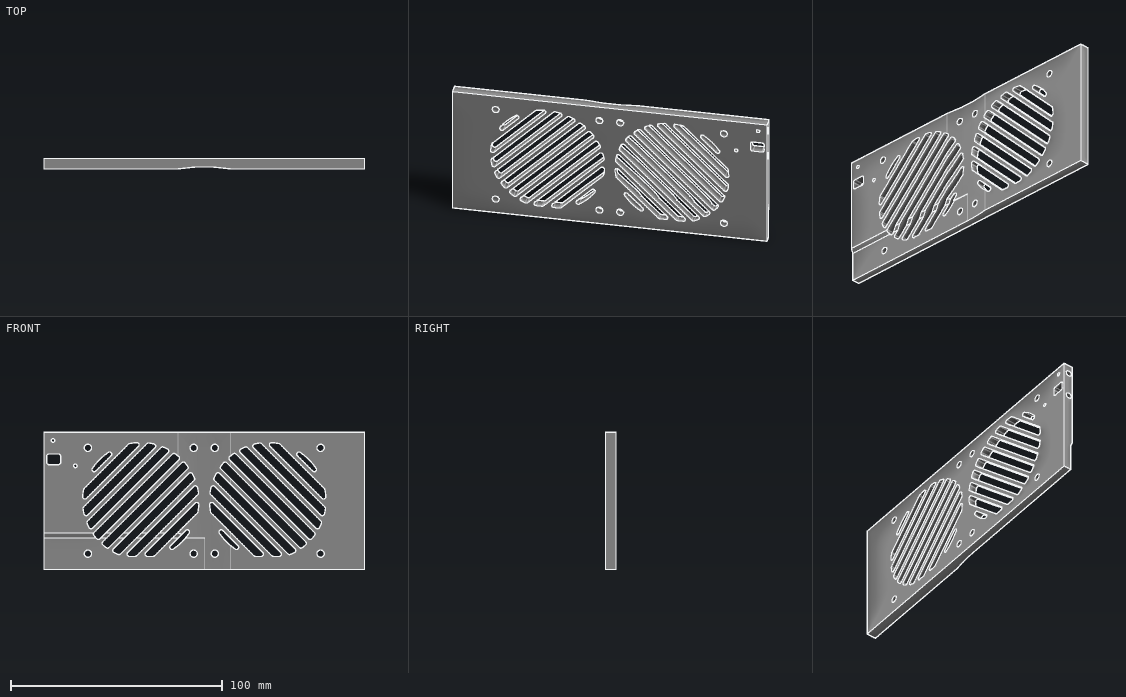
import cadquery as cq

PLATE_LENGTH = 151.7
PLATE_THICKNESS = 5.0
PLATE_HEIGHT = 65.0
MID_X = PLATE_LENGTH / 2
MID_Z = PLATE_HEIGHT / 2

HOLLOW_WIDTH = 25.0
HOLLOW_DEPTH = 1.0

RECESS_HEIGHT = 15.0
RAMP_HEIGHT = 2.3
RAMP_LENGTH = 67.0

FAN_SPACING = 60.0
FAN_OPENING_DIAMETER = 55.0
FAN_OPENING_FLAT_Z = 6.25
FAN_SCREW_PITCH = 50.0
FAN_SCREW_DIAMETER = 3.33
SLOT_WIDTH = 4.0
SLOT_PITCH = 6.0
SLOT_COUNT = 10
SLOT_CORNER_RADIUS = 1.0
SLOT_ANGLE = 45.0

WINDOW_LENGTH = 6.5
WINDOW_HEIGHT = 5.0
WINDOW_CENTER = (4.7, 52.1)
WINDOW_CORNER_RADIUS = 1.04

PILOT_DIAMETER = 1.62
PILOT_CENTERS = [(4.35, 61.0), (14.9, 49.0)]

END_HOLE_DIAMETER = 3.02
END_HOLE_DEPTH = 3.0
END_HOLE_Y = 2.2
END_HOLE_HEIGHTS = (46.0, 60.0)


def make_plate():
    return cq.Workplane("XY").box(PLATE_LENGTH, PLATE_THICKNESS, PLATE_HEIGHT, centered=False)


def front_plane(x, z):
    """Workplane on the front face at (x, z), with its normal pointing into the plate."""
    return cq.Workplane(cq.Plane(origin=(x, 0, z), xDir=(1, 0, 0), normal=(0, 1, 0)))


def make_hollow():
    radius = ((HOLLOW_WIDTH / 2) ** 2 + HOLLOW_DEPTH**2) / (2 * HOLLOW_DEPTH)
    return (
        cq.Workplane("XY")
        .center(MID_X, HOLLOW_DEPTH - radius)
        .circle(radius)
        .extrude(PLATE_HEIGHT)
    )


def make_recess():
    """Flat recess that ends at the hollow's deepest line, with a ramp up to the front face above it."""
    floor = cq.Workplane("XY").box(MID_X, HOLLOW_DEPTH, RECESS_HEIGHT, centered=False)
    ramp = (
        cq.Workplane("YZ")
        .moveTo(0, RECESS_HEIGHT)
        .lineTo(HOLLOW_DEPTH, RECESS_HEIGHT)
        .lineTo(0, RECESS_HEIGHT + RAMP_HEIGHT)
        .close()
        .extrude(RAMP_LENGTH)
    )
    return floor.union(ramp)


def make_fan_opening(center_x):
    """Round fan opening with a flat across its bottom."""
    disc = front_plane(center_x, MID_Z).circle(FAN_OPENING_DIAMETER / 2).extrude(PLATE_THICKNESS)
    below_flat = cq.Workplane("XY").box(PLATE_LENGTH, PLATE_THICKNESS, FAN_OPENING_FLAT_Z, centered=False)
    return disc.cut(below_flat)


def make_slots(center_x, angle):
    """Parallel slots bounded by the fan opening, with every corner rounded."""
    opening = make_fan_opening(center_x)
    slots = cq.Workplane("XY")
    for index in range(SLOT_COUNT):
        offset = (index - (SLOT_COUNT - 1) / 2) * SLOT_PITCH
        strip = (
            front_plane(center_x, MID_Z)
            .center(0, offset)
            .rect(FAN_OPENING_DIAMETER, SLOT_WIDTH)
            .extrude(PLATE_THICKNESS)
            .rotate((center_x, 0, MID_Z), (center_x, 1, MID_Z), angle)
        )
        slots = slots.add(strip.intersect(opening).edges("|Y").fillet(SLOT_CORNER_RADIUS))
    return slots.combine()


def make_fan_screw_holes(center_x):
    return (
        front_plane(center_x, MID_Z)
        .rect(FAN_SCREW_PITCH, FAN_SCREW_PITCH, forConstruction=True)
        .vertices()
        .circle(FAN_SCREW_DIAMETER / 2)
        .extrude(PLATE_THICKNESS)
    )


def make_window():
    return (
        front_plane(*WINDOW_CENTER)
        .rect(WINDOW_LENGTH, WINDOW_HEIGHT)
        .extrude(PLATE_THICKNESS)
        .edges("|Y")
        .fillet(WINDOW_CORNER_RADIUS)
    )


def make_pilot_hole(x, z):
    return front_plane(x, z).circle(PILOT_DIAMETER / 2).extrude(PLATE_THICKNESS)


def make_end_hole(z):
    return cq.Workplane("YZ").center(END_HOLE_Y, z).circle(END_HOLE_DIAMETER / 2).extrude(END_HOLE_DEPTH)


result = make_plate().cut(make_hollow()).cut(make_recess())

for side in (-1, 1):
    fan_x = MID_X + side * FAN_SPACING / 2
    result = result.cut(make_slots(fan_x, side * SLOT_ANGLE))
    result = result.cut(make_fan_screw_holes(fan_x))

result = result.cut(make_window())

for pilot_x, pilot_z in PILOT_CENTERS:
    result = result.cut(make_pilot_hole(pilot_x, pilot_z))

for end_hole_z in END_HOLE_HEIGHTS:
    result = result.cut(make_end_hole(end_hole_z))